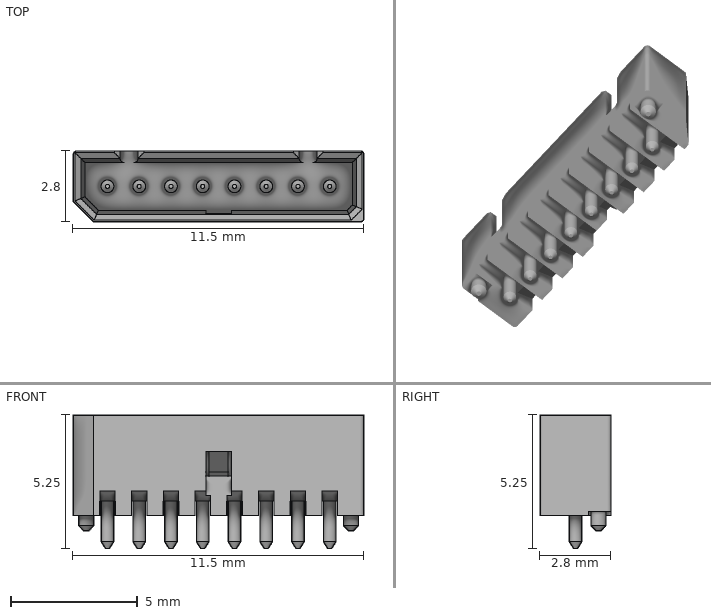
import cadquery as cq
import math


pin_count = 8
pitch = 1.25
pin_xs = [(i - (pin_count - 1) / 2) * pitch for i in range(pin_count)]

body_length = 11.45
body_width = 2.8
body_height = 3.95
key_chamfer = 0.8
corner_radius = 0.15
half_length = body_length / 2
half_width = body_width / 2
overshoot = 0.5

wall = 0.3
floor_z = 1.55
floor_chamfer = 0.16
rim_chamfer = 0.23
inner_key_chamfer = 0.3
cavity_half_length = half_length - wall
cavity_half_width = half_width - wall
chamfer_offset_ratio = 2 - math.sqrt(2)

latch_slot_width = 0.7
latch_slot_x = 3.525
latch_slot_fillet = 0.15

window_width = 1.0
window_top_z = 2.52
recess_depth = 0.33

channel_width = 0.6
channel_height = 0.57
channel_mouth_height = 0.97
channel_slope_run = 0.75

peg_x = 5.21
peg_y = 0.9
peg_radius = 0.3
peg_depth = 0.6
peg_tip_length = 0.2
peg_tip_radius = 0.1
relief_size = 0.9
relief_height = 0.15

pin_radius = 0.25
pin_bottom_z = -1.3
pin_top_z = 3.35
pin_tip_length = 0.27
pin_tip_radius = 0.08


def box(x_range, y_range, z_range):
    """Axis-aligned box between the given limits."""
    size = [high - low for low, high in (x_range, y_range, z_range)]
    origin = (x_range[0], y_range[0], z_range[0])
    return cq.Workplane("XY").box(*size, centered=False).translate(origin)


def shell_block():
    """Solid block with the key chamfer and three rounded corners."""
    block = box((-half_length, half_length), (-half_width, half_width), (0, body_height))
    block = block.edges("|Z and (>X or >Y)").fillet(corner_radius)
    return block.edges("|Z and <X and <Y").chamfer(key_chamfer)


def cavity_outline(offset):
    """Corner points of the cavity wall outline, moved outward by offset."""
    x = cavity_half_length + offset
    y = cavity_half_width + offset
    left = key_chamfer - (wall - offset) * chamfer_offset_ratio
    right = inner_key_chamfer + offset * chamfer_offset_ratio
    return [(-x + left, -y), (x - right, -y), (x, -y + right), (x, y), (-x, y), (-x, -y + left)]


def cavity_tool():
    """Cavity with a chamfered floor edge and a flared opening."""
    flare_z = body_height - rim_chamfer
    straight = (
        cq.Workplane("XY", origin=(0, 0, floor_z))
        .polyline(cavity_outline(0)).close()
        .extrude(flare_z - floor_z)
        .faces("<Z").edges().chamfer(floor_chamfer)
    )
    flare = (
        cq.Workplane("XY", origin=(0, 0, flare_z))
        .polyline(cavity_outline(0)).close()
        .workplane(offset=rim_chamfer)
        .polyline(cavity_outline(rim_chamfer)).close()
        .loft(ruled=True)
    )
    return straight.union(flare)


def latch_slot_tool(x):
    """Rear wall slot, rounded into the floor and flared at the top."""
    half = latch_slot_width / 2
    flare_z = body_height - rim_chamfer
    bottom_half = half - latch_slot_fillet
    wall_foot_z = floor_z + latch_slot_fillet
    fillet_mid = latch_slot_fillet * (1 - math.sqrt(0.5))
    return (
        cq.Workplane("XZ", origin=(x, half_width + overshoot, 0))
        .moveTo(-bottom_half, floor_z)
        .lineTo(bottom_half, floor_z)
        .threePointArc((half - fillet_mid, floor_z + fillet_mid), (half, wall_foot_z))
        .lineTo(half, flare_z)
        .lineTo(half + rim_chamfer, body_height)
        .lineTo(-half - rim_chamfer, body_height)
        .lineTo(-half, flare_z)
        .lineTo(-half, wall_foot_z)
        .threePointArc((-half + fillet_mid, floor_z + fillet_mid), (-bottom_half, floor_z))
        .close()
        .extrude(overshoot + wall + rim_chamfer)
    )


def window_tool():
    """Front recess from the seating face up, opening into the cavity above the floor."""
    x_range = (-window_width / 2, window_width / 2)
    front_y = -half_width - overshoot
    recess = box(x_range, (front_y, -half_width + recess_depth), (0, window_top_z))
    floor_gap = box(x_range, (front_y, -cavity_half_width + floor_chamfer), (floor_z, window_top_z))
    return recess.union(floor_gap)


def channel_tool(x):
    """Front-to-back channel under a pin, its roof rising toward the front."""
    return (
        cq.Workplane("YZ", origin=(x - channel_width / 2, 0, 0))
        .polyline([
            (-half_width, 0),
            (half_width, 0),
            (half_width, channel_height),
            (-half_width + channel_slope_run, channel_height),
            (-half_width, channel_mouth_height),
        ])
        .close()
        .extrude(channel_width)
    )


def locating_peg(x):
    """Round peg with a conical tip, rooted in the roof of the corner relief."""
    return (
        cq.Workplane("XZ", origin=(x, peg_y, 0))
        .polyline([
            (0, relief_height),
            (peg_radius, relief_height),
            (peg_radius, -peg_depth + peg_tip_length),
            (peg_tip_radius, -peg_depth),
            (0, -peg_depth),
        ])
        .close()
        .revolve(360, (0, 0), (0, 1))
    )


def corner_relief(side):
    """Shallow relief in the seating face at a rear corner, around a peg."""
    ends = (side * half_length, side * (half_length - relief_size))
    y_range = (half_width - relief_size, half_width)
    return box(sorted(ends), y_range, (0, relief_height))


def make_pin(x):
    """Contact pin with a conical tip at both ends."""
    return (
        cq.Workplane("XZ", origin=(x, 0, 0))
        .polyline([
            (0, pin_bottom_z),
            (pin_tip_radius, pin_bottom_z),
            (pin_radius, pin_bottom_z + pin_tip_length),
            (pin_radius, pin_top_z - pin_tip_length),
            (pin_tip_radius, pin_top_z),
            (0, pin_top_z),
        ])
        .close()
        .revolve(360, (0, 0), (0, 1))
    )


def make_housing(pins):
    """Housing with its cavity, openings, pegs and a matching hole for every pin."""
    housing = shell_block().cut(cavity_tool())
    for side in (-1, 1):
        housing = housing.cut(latch_slot_tool(side * latch_slot_x))
    housing = housing.cut(window_tool())
    for x in pin_xs:
        housing = housing.cut(channel_tool(x))

    for side in (-1, 1):
        housing = housing.cut(corner_relief(side))
        housing = housing.union(locating_peg(side * peg_x))
    for pin in pins:
        housing = housing.cut(pin)
    return housing


pins = [make_pin(x) for x in pin_xs]
housing = make_housing(pins)
result = cq.Compound.makeCompound([housing.val(), *[pin.val() for pin in pins]])